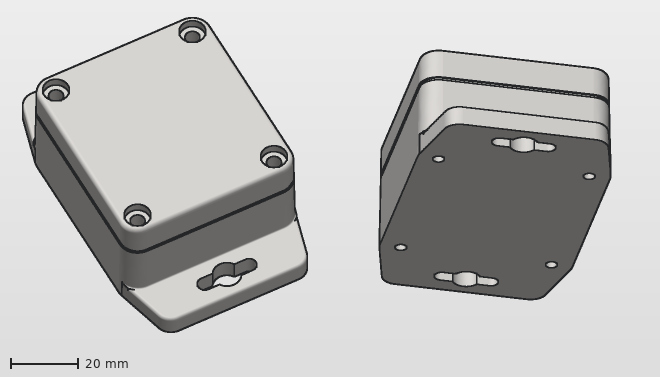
import cadquery as cq
import math

parting_length = 64.0
parting_width = 58.0
corner_radius = 6.0
draft_angle = 1.0
base_height = 24.0
total_height = 35.0

groove_height = 1.0
groove_depth = 0.5

lid_bottom = base_height + groove_height
lid_height = total_height - lid_bottom
lid_edge_radius = 1.5

screw_x = parting_length / 2 - corner_radius
screw_y = parting_width / 2 - corner_radius
counterbore_diameter = 8.0
counterbore_depth = 3.0
lid_hole_diameter = 4.5
pilot_top_diameter = 3.8
pilot_bottom_diameter = 3.5

flange_length = 94.0
flange_thickness = 6.5
flange_slope = math.radians(15)
flange_corner_radius = 5.0
flange_edge_radius = 1.0
flange_root_radius = 0.5

keyhole_x = 39.5
keyhole_diameter = 8.6
keyhole_slot_width = 4.5
keyhole_slot_length = 19.5

base_growth = base_height * math.tan(math.radians(draft_angle))
bottom_corner_radius = corner_radius + base_growth


def rounded_block(bottom_z, height, growth=0.0, taper=0.0):
    """Block with rounded corners, its bottom outline moved outward by growth."""
    outline = (
        cq.Sketch()
        .rect(parting_length + 2 * growth, parting_width + 2 * growth)
        .vertices()
        .fillet(corner_radius + growth)
    )
    return cq.Workplane("XY", origin=(0, 0, bottom_z)).placeSketch(outline).extrude(height, taper=taper)


def screw_holes(bottom_diameter, bottom_z, depth, top_diameter=None):
    """Cutter for four round holes on the corner centers, tapered if a top diameter is given."""
    top_diameter = top_diameter or bottom_diameter
    widening = math.degrees(math.atan((top_diameter - bottom_diameter) / 2 / depth))
    return (
        cq.Workplane("XY", origin=(0, 0, bottom_z))
        .rect(2 * screw_x, 2 * screw_y, forConstruction=True)
        .vertices()
        .circle(bottom_diameter / 2)
        .extrude(depth, taper=-widening)
    )


def flange_block(height):
    """Block with the outline of the +X flange; its sloped sides are tangent to the bottom corner arcs."""
    root_x = screw_x + bottom_corner_radius * math.sin(flange_slope)
    root_y = screw_y + bottom_corner_radius * math.cos(flange_slope)
    end_x = flange_length / 2
    end_y = root_y - (end_x - root_x) * math.tan(flange_slope)
    outline = [(root_x, root_y), (end_x, end_y), (end_x, -end_y), (root_x, -root_y)]
    block = cq.Workplane("XY").polyline(outline).close().extrude(height)
    return block.edges("|Z and >X").fillet(flange_corner_radius)


def keyhole():
    """Cutter for the keyhole in the +X flange."""
    center = cq.Workplane("XY").center(keyhole_x, 0)
    slot = center.slot2D(keyhole_slot_length, keyhole_slot_width, 90).extrude(flange_thickness)
    return slot.union(center.circle(keyhole_diameter / 2).extrude(flange_thickness))


def flange_root(walls):
    """Concave fillet between the walls and the top of the +X flange, cut off at the flange sides."""
    collar = rounded_block(0, flange_thickness, base_growth + flange_root_radius).union(walls)
    collar_top = collar.faces("+Z").faces("<Z").val()
    root_edges = collar_top.innerWires()[0].Edges()
    collar = collar.newObject(root_edges).fillet(flange_root_radius)
    return collar.intersect(flange_block(base_height))


def make_base():
    walls = rounded_block(0, base_height, base_growth, draft_angle)
    rim = rounded_block(base_height, groove_height, -groove_depth)
    flange = flange_block(flange_thickness).faces(">Z").edges("not <X").fillet(flange_edge_radius)
    flange = flange.union(flange_root(walls)).cut(keyhole())
    base = walls.union(rim).union(flange).union(flange.mirror("YZ"))
    return base.cut(screw_holes(pilot_bottom_diameter, 0, lid_bottom, pilot_top_diameter))


def make_lid():
    lid = rounded_block(lid_bottom, lid_height, 0, draft_angle)
    lid = lid.faces(">Z").edges().fillet(lid_edge_radius)
    lid = lid.cut(screw_holes(lid_hole_diameter, lid_bottom, lid_height))
    return lid.cut(screw_holes(counterbore_diameter, total_height - counterbore_depth, counterbore_depth))


base = make_base()
lid = make_lid()
result = cq.Compound.makeCompound([base.val(), lid.val()])